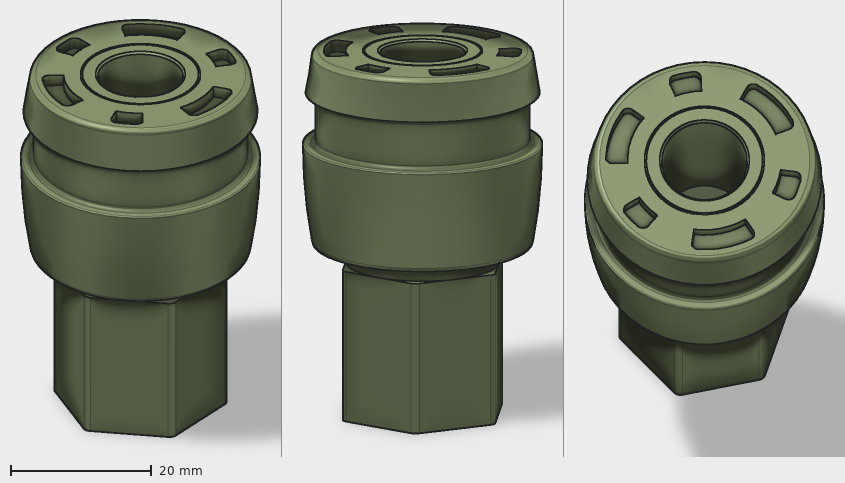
import cadquery as cq
import math

hex_top = 22.0
body_bottom = 24.5
body_top = 39.5
head_bottom = 46.85
head_top = 53.0

neck_diameter = 21.75
body_diameter = 34.0
body_bulge_radius = 79.5
groove_diameter = 30.5
groove_fillet = 0.65
head_bottom_diameter = 33.3
head_top_diameter = 31.25
rim_fillet = 0.85
body_shoulder_fillet = 0.2

hex_across_flats = neck_diameter
hex_edge_fillet = 1.2

bore_diameter = 12.1
bore_mouth_diameter = 12.7
bore_depth = 21.2
sleeve_diameter = 17.0
sleeve_bevel = 0.25

pocket_inner_radius = 10.9
pocket_outer_radius = 14.0
pocket_depth = 1.7
pocket_corner_fillet = 1.0
long_pocket_span = 40.0
short_pocket_span = 20.0
long_pocket_start = 30.0
short_pocket_start = 90.0
pockets_per_size = 3


def bulge_radius_at(height):
    """Outer radius of the body, whose side is an arc that is vertical at the top."""
    drop = body_top - height
    sag = body_bulge_radius - math.sqrt(body_bulge_radius**2 - drop**2)
    return body_diameter / 2 - sag


def make_hexagon():
    across_corners = hex_across_flats / math.cos(math.radians(30))
    hexagon = cq.Workplane("XY").polygon(6, across_corners).extrude(hex_top)
    return hexagon.edges("|Z").fillet(hex_edge_fillet)


def make_turned_section():
    neck_radius = neck_diameter / 2
    groove_radius = groove_diameter / 2
    body_middle = (body_bottom + body_top) / 2
    lower_fillet_start = body_top + groove_fillet
    upper_fillet_start = head_bottom - groove_fillet
    fillet_outer_radius = groove_radius + groove_fillet
    fillet_inset = groove_fillet * (1 - math.sqrt(0.5))

    turned = (
        cq.Workplane("XZ")
        .moveTo(0, hex_top)
        .lineTo(neck_radius, hex_top)
        .lineTo(neck_radius, body_bottom)
        .lineTo(bulge_radius_at(body_bottom), body_bottom)
        .threePointArc(
            (bulge_radius_at(body_middle), body_middle),
            (body_diameter / 2, body_top),
        )
        .lineTo(fillet_outer_radius, body_top)
        .threePointArc(
            (groove_radius + fillet_inset, body_top + fillet_inset),
            (groove_radius, lower_fillet_start),
        )
        .lineTo(groove_radius, upper_fillet_start)
        .threePointArc(
            (groove_radius + fillet_inset, head_bottom - fillet_inset),
            (fillet_outer_radius, head_bottom),
        )
        .lineTo(head_bottom_diameter / 2, head_bottom)
        .lineTo(head_top_diameter / 2, head_top)
        .lineTo(0, head_top)
        .close()
        .revolve(360, (0, 0), (0, 1))
    )
    largest_edge = cq.selectors.RadiusNthSelector(-1)
    turned = turned.faces(">Z").edges().fillet(rim_fillet)
    turned = turned.faces("|Z").faces("<Z[-2]").edges(largest_edge).fillet(rim_fillet)
    return turned.faces("|Z").faces("<Z[-3]").edges(largest_edge).fillet(body_shoulder_fillet)


def make_bore():
    bore_radius = bore_diameter / 2
    mouth_radius = bore_mouth_diameter / 2
    mouth_depth = mouth_radius - bore_radius
    return (
        cq.Workplane("XZ")
        .moveTo(0, head_top)
        .lineTo(mouth_radius, head_top)
        .lineTo(bore_radius, head_top - mouth_depth)
        .lineTo(bore_radius, head_top - bore_depth)
        .lineTo(0, head_top - bore_depth)
        .close()
        .revolve(360, (0, 0), (0, 1))
    )


def make_sleeve_bevel():
    """V-shaped ring left by the bevelled sleeve inside its straight seat."""
    seat_radius = sleeve_diameter / 2
    return (
        cq.Workplane("XZ")
        .moveTo(seat_radius - sleeve_bevel, head_top)
        .lineTo(seat_radius, head_top)
        .lineTo(seat_radius, head_top - sleeve_bevel)
        .close()
        .revolve(360, (0, 0), (0, 1))
    )


def make_pocket(span, direction):
    """Ring-segment cutter centred on +X, then turned to its direction about Z."""
    half_span = math.radians(span / 2)

    def on_circle(radius, angle):
        return (radius * math.cos(angle), radius * math.sin(angle))

    pocket = (
        cq.Workplane("XY", origin=(0, 0, head_top - pocket_depth))
        .moveTo(*on_circle(pocket_inner_radius, -half_span))
        .lineTo(*on_circle(pocket_outer_radius, -half_span))
        .threePointArc((pocket_outer_radius, 0), on_circle(pocket_outer_radius, half_span))
        .lineTo(*on_circle(pocket_inner_radius, half_span))
        .threePointArc((pocket_inner_radius, 0), on_circle(pocket_inner_radius, -half_span))
        .close()
        .extrude(pocket_depth)
    )
    middle_radius = (pocket_inner_radius + pocket_outer_radius) / 2
    outer_corners = [edge for edge in pocket.edges("|Z").vals()
                     if math.hypot(edge.Center().x, edge.Center().y) > middle_radius]
    pocket = pocket.newObject(outer_corners).fillet(pocket_corner_fillet)
    return pocket.rotate((0, 0, 0), (0, 0, 1), direction)


result = make_hexagon().union(make_turned_section())
result = result.cut(make_bore()).cut(make_sleeve_bevel())
for index in range(pockets_per_size):
    turn = index * 360 / pockets_per_size
    result = result.cut(make_pocket(long_pocket_span, long_pocket_start + turn))
    result = result.cut(make_pocket(short_pocket_span, short_pocket_start + turn))